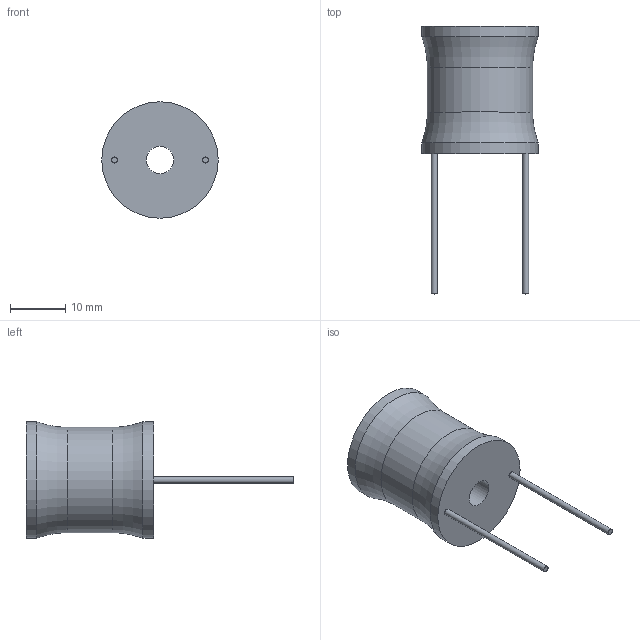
import cadquery as cq
import math

flange_diameter = 21.08
waist_diameter = 19.05
bore_diameter = 5.0
body_length = 23.11
flange_thickness = 1.95
waist_length = 8.03
lead_diameter = 1.1
lead_pitch = 16.5
lead_length = 25.4

flange_radius = flange_diameter / 2
waist_radius = waist_diameter / 2
flare_length = (body_length - waist_length) / 2 - flange_thickness
flare_height = flange_radius - waist_radius
flare_arc_radius = (flare_length**2 + flare_height**2) / (2 * flare_height)

waist_start = flange_thickness + flare_length
waist_end = waist_start + waist_length
rear_flange_start = waist_end + flare_length


def flare_midpoint(waist_edge, direction):
    """Point on the flare arc, halfway along Y between the waist edge and the flange."""
    half_length = flare_length / 2
    rise = flare_arc_radius - math.sqrt(flare_arc_radius**2 - half_length**2)
    return (waist_radius + rise, waist_edge + direction * half_length)


def make_body():
    """Flanged spool revolved about Y, with its lead-side face at Y = 0."""
    profile = (
        cq.Workplane("XY")
        .lineTo(flange_radius, 0)
        .lineTo(flange_radius, flange_thickness)
        .threePointArc(flare_midpoint(waist_start, -1), (waist_radius, waist_start))
        .lineTo(waist_radius, waist_end)
        .threePointArc(flare_midpoint(waist_end, 1), (flange_radius, rear_flange_start))
        .lineTo(flange_radius, body_length)
        .lineTo(0, body_length)
        .close()
    )
    return profile.revolve(360, (0, 0, 0), (0, 1, 0))


def make_bore():
    """Cylinder that clears the central hole through the whole body."""
    return cq.Workplane("XZ").circle(bore_diameter / 2).extrude(-body_length)


def make_lead(x):
    """Round wire running in -Y from the lead-side face."""
    return cq.Workplane("XZ").center(x, 0).circle(lead_diameter / 2).extrude(lead_length)


result = make_body().cut(make_bore())
for side in (-1, 1):
    result = result.union(make_lead(side * lead_pitch / 2))